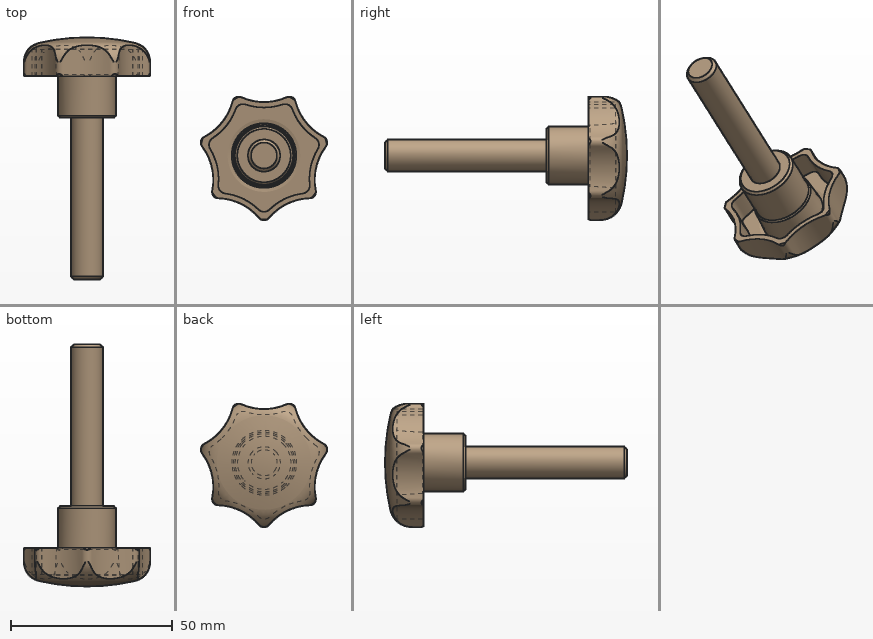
import cadquery as cq
import math


lobe_count = 7
knob_height = 12.0
dome_radius = 65.0
knob_radius = 20.0
edge_round = 7.0
rim_chamfer_height = 0.7
rim_chamfer_width = 0.3
scallop_root_radius = 16.6
lobe_round = 2.0

pocket_root_radius = 14.85
pocket_tip_radius = 17.4
pocket_round = 2.5
pocket_depth = 8.25
floor_recess_radius = 11.25

boss_top_radius = 19.0 / 2
boss_base_radius = 10.1

hub_radius = 9.0
hub_length = 13.0
hub_chamfer = 0.75
stud_radius = 10.0 / 2
stud_chamfer = 1.0
stud_end = knob_height - 75.0


def polar(radius, angle):
    return (radius * math.cos(angle), radius * math.sin(angle))


def star(root_radius, tip_radius, tip_round, height):
    """Star prism rising from Y = 0: rounded lobes joined by tangent concave scallops."""
    half_pitch = math.pi / lobe_count
    tip_center = tip_radius - tip_round
    center_x, center_y = polar(tip_center, half_pitch)
    gap = center_x - root_radius
    scallop_radius = (gap**2 + center_y**2 - tip_round**2) / (2 * (gap + tip_round))
    scallop_center = root_radius + scallop_radius
    share = scallop_radius / (scallop_radius + tip_round)
    tangent_x = scallop_center + share * (center_x - scallop_center)
    tangent_y = share * center_y
    tangent_radius = math.hypot(tangent_x, tangent_y)
    tangent_angle = math.atan2(tangent_y, tangent_x)

    first_lobe = -math.pi / 2
    to_tangent = half_pitch - tangent_angle
    outline = cq.Workplane("XZ").moveTo(*polar(tangent_radius, first_lobe - to_tangent))
    for index in range(lobe_count):
        lobe = first_lobe + 2 * half_pitch * index
        root = lobe + half_pitch
        next_lobe = root + half_pitch
        outline = outline.threePointArc(
            polar(tip_radius, lobe), polar(tangent_radius, lobe + to_tangent)
        )
        outline = outline.threePointArc(
            polar(root_radius, root), polar(tangent_radius, next_lobe - to_tangent)
        )
    return outline.close().extrude(-height)


def sphere_height(top, sphere_radius, radius):
    """Height of a dome with the given apex height at a distance from the axis."""
    return top - sphere_radius + math.sqrt(sphere_radius**2 - radius**2)


def spin(profile):
    return profile.close().revolve(360, (0, 0, 0), (0, 1, 0))


def domed_disc():
    """Round head blank with a domed top, rounded edge and slightly bevelled rim."""
    dome_center = knob_height - dome_radius
    round_x = knob_radius - edge_round
    round_y = dome_center + math.sqrt((dome_radius - edge_round) ** 2 - round_x**2)
    join_angle = math.atan2(round_y - dome_center, round_x)
    join_x, join_y = polar(dome_radius, join_angle)
    bulge_x, bulge_y = polar(edge_round, join_angle / 2)
    join = (join_x, dome_center + join_y)
    dome_middle = (join_x / 2, sphere_height(knob_height, dome_radius, join_x / 2))
    return spin(
        cq.Workplane("XY")
        .lineTo(knob_radius - rim_chamfer_width, 0)
        .lineTo(knob_radius, rim_chamfer_height)
        .lineTo(knob_radius, round_y)
        .threePointArc((round_x + bulge_x, round_y + bulge_y), join)
        .threePointArc(dome_middle, (0, knob_height))
    )


def floor_recess():
    """Shallow recess in the pocket floor, concentric with the dome."""
    dome_center = knob_height - dome_radius
    floor_radius = math.hypot(floor_recess_radius, pocket_depth - dome_center)
    top = dome_center + floor_radius
    middle = floor_recess_radius / 2
    return spin(
        cq.Workplane("XY")
        .lineTo(floor_recess_radius, 0)
        .lineTo(floor_recess_radius, pocket_depth)
        .threePointArc((middle, sphere_height(top, floor_radius, middle)), (0, top))
    )


def shaft():
    """Tapered boss, hub and stud, rooted inside the head."""
    boss_root = (pocket_depth + knob_height) / 2
    boss_step = boss_top_radius - hub_radius
    return spin(
        cq.Workplane("XY")
        .moveTo(0, boss_root)
        .lineTo(boss_base_radius, boss_root)
        .lineTo(boss_top_radius, boss_step)
        .lineTo(hub_radius, 0)
        .lineTo(hub_radius, hub_chamfer - hub_length)
        .lineTo(hub_radius - hub_chamfer, -hub_length)
        .lineTo(stud_radius, -hub_length)
        .lineTo(stud_radius, stud_end + stud_chamfer)
        .lineTo(stud_radius - stud_chamfer, stud_end)
        .lineTo(0, stud_end)
    )


head = domed_disc().intersect(star(scallop_root_radius, knob_radius, lobe_round, knob_height))
pocket = star(pocket_root_radius, pocket_tip_radius, pocket_round, pocket_depth)
result = head.cut(pocket).cut(floor_recess()).union(shaft())